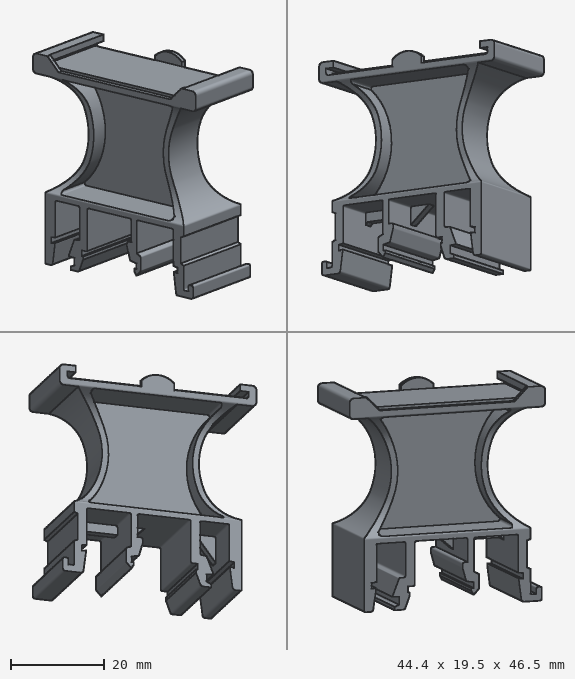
import cadquery as cq
import math

total_height = 46.45
flange_length = 44.4
depth = 19.5
half_depth = depth / 2
half_flange = flange_length / 2

flange_bottom = 41.9
lip_top = 43.45
wedge_top = 18.25
wedge_foot = 15.2
flange_corner_radius = 0.98
wedge_thickness = 1.0
edge_radius = 0.5
edge_height = 0.4
edge_width = edge_radius - math.sqrt(edge_radius**2 - edge_height**2)
half_edge_angle = math.asin(edge_height / edge_radius) / 2

base_half_length = 18.9
base_top = 16.05
waist_half_length = 10.9
waist_radius = 15.0
waist_center_z = 29.2
waist_half_depth = 4.92
flare_radius = 8.0

end_wall_thickness = 1.45
web_thickness = 1.95
channel_floor = 16.1
channel_corner_height = 0.7
channel_corner_radius = 0.5

label_thickness = 0.6
label_front = -8.55
label_back = 8.45
label_half_length = 19.75
seat_half_length = 18.55
groove_top = 44.95
groove_radius = 0.7
groove_half_length = label_half_length + groove_radius

tab_length = 7.35
tab_thickness = 1.1
tab_shoulder = 44.95

base_underside = 14.7
inner_corner_radius = 0.4
wall_inner = 16.05
slot_bottom = 17.2
rib_thickness = web_thickness
right_rib_bottom = 12.6
right_rib_flare = 0.6
wall_waist_face = 18.1
hook_reach = 21.45
hook_inner = 20.2
hook_floor = 1.55
hook_top = 3.0
left_leg = (-9.48, -7.4)
right_leg = (4.6, 6.1)


def draw_rounded_outline(sketch, corners):
    """Draw a closed outline; a third number in a corner is its rounding radius."""
    count = len(corners)
    started = False
    for i, corner in enumerate(corners):
        x, z = corner[:2]
        if len(corner) == 2:
            start, middle, end = (x, z), None, (x, z)
        else:
            radius = corner[2]
            directions = []
            for neighbour in (corners[i - 1], corners[(i + 1) % count]):
                length = math.hypot(neighbour[0] - x, neighbour[1] - z)
                directions.append(((neighbour[0] - x) / length, (neighbour[1] - z) / length))
            (ax, az), (bx, bz) = directions
            half_angle = math.acos(ax * bx + az * bz) / 2
            tangent = radius / math.tan(half_angle)
            to_arc = radius / math.sin(half_angle) - radius
            bisector = math.hypot(ax + bx, az + bz)
            start = (x + ax * tangent, z + az * tangent)
            middle = (x + (ax + bx) / bisector * to_arc, z + (az + bz) / bisector * to_arc)
            end = (x + bx * tangent, z + bz * tangent)
        sketch = sketch.lineTo(*start) if started else sketch.moveTo(*start)
        started = True
        if middle:
            sketch = sketch.threePointArc(middle, end)
    return sketch.close()


def extrude_along_y(corners, y_from, y_to):
    sketch = draw_rounded_outline(cq.Workplane("XZ", origin=(0, y_from, 0)), corners)
    return sketch.extrude(y_from - y_to)


def box(x_from, x_to, y_from, y_to, z_from, z_to):
    size = (x_to - x_from, y_to - y_from, z_to - z_from)
    return cq.Workplane("XY").box(*size, centered=False).translate((x_from, y_from, z_from))


def concave_x(z, radius, waist):
    """Half length at height z of a shape with concave round ends."""
    return waist + radius - math.sqrt(radius**2 - (z - waist_center_z) ** 2)


def edge_middle(half_size):
    """Middle of a rounded edge: its distance from the centre and its rise above the edge's foot."""
    outward = half_size - edge_radius + edge_radius * math.cos(half_edge_angle)
    return outward, edge_radius * math.sin(half_edge_angle)


def make_flange():
    corners = [
        (-half_flange, flange_bottom, flange_corner_radius),
        (-half_flange, total_height, flange_corner_radius),
        (-wedge_top, total_height),
        (-wedge_foot, lip_top),
        (wedge_foot, lip_top),
        (wedge_top, total_height),
        (half_flange, total_height, flange_corner_radius),
        (half_flange, flange_bottom, flange_corner_radius),
    ]
    return extrude_along_y(corners, -half_depth, half_depth)


def make_waist():
    """Waist between the flange and the base, concave at both X ends."""
    x_low = base_half_length - edge_width
    x_high = concave_x(flange_bottom, waist_radius, waist_half_length)
    edge_foot = base_top - edge_height
    edge_x, edge_rise = edge_middle(base_half_length)
    return (
        cq.Workplane("XZ", origin=(0, half_depth, 0))
        .moveTo(-base_half_length, edge_foot)
        .threePointArc((-edge_x, edge_foot + edge_rise), (-x_low, base_top))
        .threePointArc((-waist_half_length, waist_center_z), (-x_high, flange_bottom))
        .lineTo(x_high, flange_bottom)
        .threePointArc((waist_half_length, waist_center_z), (x_low, base_top))
        .threePointArc((edge_x, edge_foot + edge_rise), (base_half_length, edge_foot))
        .close()
        .extrude(depth)
    )


def snap_wall_inside(side):
    """Inner face of an outer wall from the base down to its foot; side is -1 or 1."""
    corners = [
        (wall_inner, base_underside, inner_corner_radius),
        (wall_inner, 6.4),
        (slot_bottom, 6.22),
        (slot_bottom, 4.95),
        (16.2, 5.1),
        (16.2, 4.8),
        (16.85, 0.0, 0.65),
    ]
    return [(side * corner[0], *corner[1:]) for corner in corners]


def make_base():
    """Base slab, two outer walls and two middle legs, all one profile along Y."""
    slab_top = base_top - edge_height
    left_wall = [(-base_half_length, slab_top), (-base_half_length, 0.0, 0.35)]
    left_wall += snap_wall_inside(-1)[::-1]
    left_hook = [
        (left_leg[0], base_underside, inner_corner_radius),
        (left_leg[0], 6.95, 0.5),
        (-10.9, 6.95, 0.3),
        (-12.5, 2.95),
        (-10.95, 2.9),
        (-10.95, 1.15),
        (-11.95, 0.75),
        (-11.95, 0.0),
        (-9.65, 0.0, 0.65),
        (-8.55, 2.93),
        (-8.55, 3.6),
        (-8.9, 3.7),
        (-8.9, 4.95),
        (left_leg[1], 4.95, 0.35),
        (left_leg[1], base_underside, inner_corner_radius),
    ]
    right_hook = [
        (right_leg[0], base_underside, inner_corner_radius),
        (right_leg[0], 9.45),
        (3.45, 9.45, 0.5),
        (3.45, 8.25, 0.95),
        (4.27, 5.3, 0.35),
        (5.95, 4.95),
        (5.95, 3.7),
        (5.45, 3.7),
        (5.45, 3.1),
        (6.0, 2.25),
        (7.2, 3.55, 0.35),
        (7.2, 6.7, 0.35),
        (right_leg[1], 7.25),
        (right_leg[1], base_underside, inner_corner_radius),
    ]
    right_wall = snap_wall_inside(1) + [
        (hook_reach, 0.0, 0.55),
        (hook_reach, hook_top, 0.35),
        (hook_inner, hook_top, 0.35),
        (hook_inner, hook_floor),
        (base_half_length, hook_floor, 0.3),
        (base_half_length, 7.0),
        (wall_waist_face, 7.4),
        (wall_waist_face, 13.2),
        (base_half_length, 13.5),
        (base_half_length, slab_top),
    ]
    outline = left_wall + left_hook + right_hook + right_wall
    return extrude_along_y(outline, -half_depth, half_depth)


def make_ribs():
    """Stiffening ribs under the base slab, in the middle of the depth."""
    left_gusset = [
        (-wall_inner, 8.8),
        (-wall_inner, base_underside),
        (-11.45, base_underside),
    ]
    middle_gusset = [
        (0.0, base_underside),
        (right_leg[0], base_underside),
        (right_leg[0], 10.7),
    ]
    right_rib = [
        (right_leg[1], right_rib_bottom),
        (right_leg[1], base_underside),
        (wall_inner, base_underside),
        (wall_inner, right_rib_bottom - right_rib_flare),
        (wall_inner - right_rib_flare, right_rib_bottom),
    ]
    half = rib_thickness / 2
    return [extrude_along_y(outline, -half, half) for outline in (left_gusset, middle_gusset, right_rib)]


def make_side_envelope():
    """Outline in Y and Z that narrows the waist and rounds the edges at its ends, swept along X."""
    flare_end = half_depth - edge_width
    flare_angle = math.acos(1 - (flare_end - waist_half_depth) / flare_radius)
    flare_rise = flare_radius * math.sin(flare_angle)
    mid_y = waist_half_depth + flare_radius * (1 - math.cos(flare_angle / 2))
    mid_rise = flare_radius * math.sin(flare_angle / 2)
    low = base_top + flare_rise
    high = flange_bottom - flare_rise
    edge_y, edge_rise = edge_middle(half_depth)
    base_edge_foot = base_top - edge_height
    flange_edge_foot = flange_bottom + edge_height
    return (
        cq.Workplane("YZ", origin=(-half_flange, 0, 0))
        .moveTo(0, 0)
        .lineTo(half_depth, 0)
        .lineTo(half_depth, base_edge_foot)
        .threePointArc((edge_y, base_edge_foot + edge_rise), (flare_end, base_top))
        .threePointArc((mid_y, low - mid_rise), (waist_half_depth, low))
        .lineTo(waist_half_depth, high)
        .threePointArc((mid_y, high + mid_rise), (flare_end, flange_bottom))
        .threePointArc((edge_y, flange_edge_foot - edge_rise), (half_depth, flange_edge_foot))
        .lineTo(half_depth, total_height)
        .lineTo(0, total_height)
        .mirrorY()
        .extrude(flange_length)
    )


def make_channel(y_from, y_to):
    radius = waist_radius + end_wall_thickness
    waist = waist_half_length - end_wall_thickness
    z_low = channel_floor + channel_corner_height
    z_high = flange_bottom - channel_corner_height
    x_low = concave_x(z_low, radius, waist)
    x_high = concave_x(z_high, radius, waist)
    return (
        cq.Workplane("XZ", origin=(0, y_from, 0))
        .moveTo(-x_low, channel_floor)
        .lineTo(-x_low, z_low)
        .threePointArc((-waist, waist_center_z), (-x_high, z_high))
        .lineTo(-x_high, flange_bottom)
        .lineTo(x_high, flange_bottom)
        .lineTo(x_high, z_high)
        .threePointArc((waist, waist_center_z), (x_low, z_low))
        .lineTo(x_low, channel_floor)
        .close()
        .extrude(y_from - y_to)
        .edges("(|Y and <Z) or (|Y and >Z)")
        .fillet(channel_corner_radius)
    )


def make_label_seat():
    """Space behind the front wedges, with grooves that reach under the end blocks."""
    y_from = wedge_thickness - half_depth
    opening = box(-seat_half_length, seat_half_length, y_from, half_depth, lip_top, total_height)
    groove = box(-groove_half_length, groove_half_length, y_from, half_depth, lip_top, groove_top)
    groove = groove.edges("|Y and <Z").fillet(groove_radius)
    return opening.union(groove)


def make_tab():
    half_length = tab_length / 2
    return (
        cq.Workplane("XZ", origin=(0, half_depth, 0))
        .moveTo(-half_length, lip_top)
        .lineTo(-half_length, tab_shoulder)
        .threePointArc((0, total_height), (half_length, tab_shoulder))
        .lineTo(half_length, lip_top)
        .close()
        .extrude(tab_thickness)
    )


def make_holder():
    holder = make_flange().union(make_waist()).union(make_base())
    holder = holder.intersect(make_side_envelope())
    for rib in make_ribs():
        holder = holder.union(rib)
    holder = holder.cut(make_channel(-half_depth, -web_thickness / 2))
    holder = holder.cut(make_channel(web_thickness / 2, half_depth))
    return holder.cut(make_label_seat()).union(make_tab())


def make_label_plate():
    label_top = lip_top + label_thickness
    return box(-label_half_length, label_half_length, label_front, label_back, lip_top, label_top)


holder = make_holder()
label_plate = make_label_plate()
result = cq.Compound.makeCompound([holder.val(), label_plate.val()])